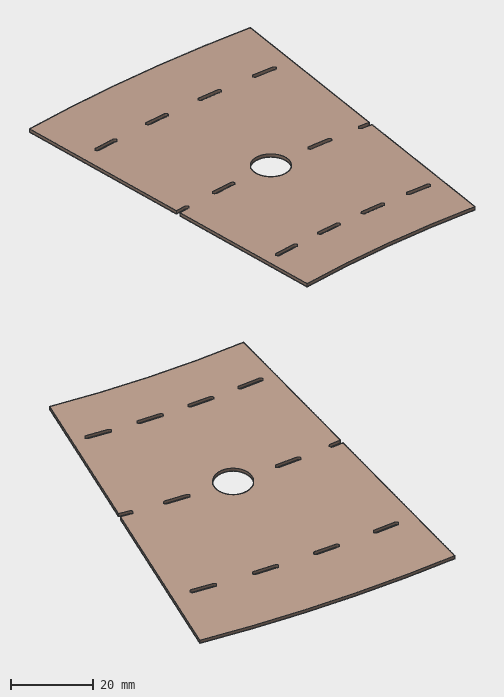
import cadquery as cq
import math

plate_length = 97.2
thickness = 1.0
half_angle = 5.0
outer_radius = 400.8
inner_radius = (outer_radius - plate_length) / math.cos(math.radians(half_angle))

centre_hole_diameter = 10.0
slot_length = 7.0
slot_width = 1.2

slot_pitch_angle = half_angle / 2
wide_row_radius = 382.8
middle_row_radius = 349.4
narrow_row_radius = 319.0

arc_centre_x = outer_radius - plate_length / 2


def polar_point(radius, angle):
    """Point at a radius from the arc centre, angle in degrees above the -X direction."""
    turn = math.radians(angle)
    return (arc_centre_x - radius * math.cos(turn), radius * math.sin(turn))


def make_plate():
    return (
        cq.Workplane("XY")
        .moveTo(*polar_point(outer_radius, -half_angle))
        .threePointArc(polar_point(outer_radius, 0), polar_point(outer_radius, half_angle))
        .lineTo(*polar_point(inner_radius, half_angle))
        .threePointArc(polar_point(inner_radius, 0), polar_point(inner_radius, -half_angle))
        .close()
        .extrude(thickness)
    )


def make_slot(radius, angle):
    """Through-slot cutter lying tangent to its row arc."""
    return (
        cq.Workplane("XY")
        .center(*polar_point(radius, angle))
        .slot2D(slot_length, slot_width, 90 - angle)
        .extrude(thickness)
    )


def cut_row(plate, radius, pitch_steps):
    for step in pitch_steps:
        plate = plate.cut(make_slot(radius, step * slot_pitch_angle))
    return plate


result = make_plate()

end_row_steps = (-1.5, -0.5, 0.5, 1.5)
result = cut_row(result, wide_row_radius, end_row_steps)
result = cut_row(result, narrow_row_radius, end_row_steps)

middle_row_steps = (-2, -1, 1, 2)
result = cut_row(result, middle_row_radius, middle_row_steps)

centre_hole = (
    cq.Workplane("XY")
    .center(*polar_point(middle_row_radius, 0))
    .circle(centre_hole_diameter / 2)
    .extrude(thickness)
)
result = result.cut(centre_hole)